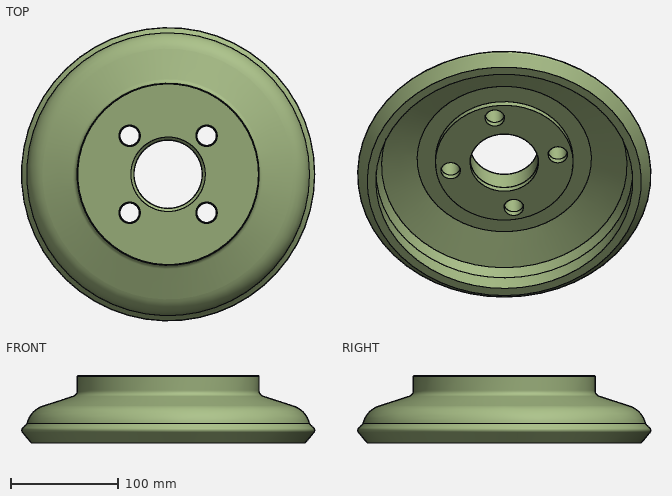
import cadquery as cq
import math

total_height = 62.99
rim_radius = 273.81 / 2

hub_radius = 170 / 2
hub_edge_chamfer = 0.7
hub_bore_radius = 63.52 / 2
bore_chamfer = 3.0
hub_fillet_radius = 5.2
hub_fillet_top_z = 48.7
bolt_hole_diameter = 18.0
bolt_chamfer = 1.0
bolt_circle_diameter = 101.6
bolt_count = 4
first_bolt_angle = 45.0

shoulder_slope = math.radians(18)
shoulder_end_radius = 117.0
dish_radius = 263.96 / 2
dish_bottom_z = 18.0

rim_bottom_radius = 127.9
rim_cone_angle = math.radians(50)
rim_nose_radius = 3.0
nose_top_angle = math.radians(58)

plate_radius = 128.5 / 2
plate_bore_radius = 63.8 / 2
plate_thickness = 6.2
hub_underside_z = 37.7
plate_bottom_z = hub_underside_z - plate_thickness

wall = 8.0

fillet_end_radius = hub_radius + hub_fillet_radius * (1 - math.sin(shoulder_slope))
fillet_end_z = hub_fillet_top_z - hub_fillet_radius * math.cos(shoulder_slope)
fillet_mid_angle = (math.pi / 2 - shoulder_slope) / 2
fillet_mid = (
    hub_radius + hub_fillet_radius * (1 - math.cos(fillet_mid_angle)),
    hub_fillet_top_z - hub_fillet_radius * math.sin(fillet_mid_angle),
)
shoulder_end_z = fillet_end_z - (shoulder_end_radius - fillet_end_radius) * math.tan(shoulder_slope)

nose_center_radius = rim_radius - rim_nose_radius
nose_tangent_radius = nose_center_radius + rim_nose_radius * math.sin(rim_cone_angle)
nose_tangent_z = (nose_tangent_radius - rim_bottom_radius) * math.tan(rim_cone_angle)
nose_center_z = nose_tangent_z + rim_nose_radius * math.cos(rim_cone_angle)
nose_top = (
    nose_center_radius + rim_nose_radius * math.cos(nose_top_angle),
    nose_center_z + rim_nose_radius * math.sin(nose_top_angle),
)

cavity_radius = rim_bottom_radius - wall
ceiling_drop = wall / math.cos(shoulder_slope)
ceiling_rise = hub_underside_z + ceiling_drop - fillet_end_z
slope_start_radius = fillet_end_radius - ceiling_rise / math.tan(shoulder_slope)
slope_end_radius = shoulder_end_radius - wall * math.sin(shoulder_slope)
slope_end_z = shoulder_end_z - wall * math.cos(shoulder_slope)


def bolt_holes(bottom_z, top_z):
    holes = cq.Workplane("XY").workplane(offset=bottom_z)
    holes = holes.polarArray(bolt_circle_diameter / 2, first_bolt_angle, 360, bolt_count)
    return holes.circle(bolt_hole_diameter / 2).extrude(top_z - bottom_z)


def bolt_countersinks():
    sinks = cq.Workplane("XY").workplane(offset=total_height)
    sinks = sinks.polarArray(bolt_circle_diameter / 2, first_bolt_angle, 360, bolt_count)
    sinks = sinks.circle(bolt_hole_diameter / 2 + bolt_chamfer)
    return sinks.extrude(-bolt_chamfer, taper=45)


def make_drum():
    profile = (
        cq.Workplane("XZ")
        .moveTo(hub_bore_radius, hub_underside_z)
        .lineTo(hub_bore_radius, total_height - bore_chamfer)
        .lineTo(hub_bore_radius + bore_chamfer, total_height)
        .lineTo(hub_radius - hub_edge_chamfer, total_height)
        .lineTo(hub_radius, total_height - hub_edge_chamfer)
        .lineTo(hub_radius, hub_fillet_top_z)
        .threePointArc(fillet_mid, (fillet_end_radius, fillet_end_z))
        .lineTo(shoulder_end_radius, shoulder_end_z)
        .tangentArcPoint((dish_radius, dish_bottom_z), relative=False)
        .lineTo(*nose_top)
        .threePointArc((rim_radius, nose_center_z), (nose_tangent_radius, nose_tangent_z))
        .lineTo(rim_bottom_radius, 0)
        .lineTo(cavity_radius, 0)
        .lineTo(cavity_radius, dish_bottom_z)
        .lineTo(slope_end_radius, slope_end_z)
        .lineTo(slope_start_radius, hub_underside_z)
        .close()
    )
    drum = profile.revolve(360, (0, 0, 0), (0, 1, 0))
    return drum.cut(bolt_holes(hub_underside_z, total_height)).cut(bolt_countersinks())


def make_backing_plate():
    plate = cq.Workplane("XY").workplane(offset=plate_bottom_z)
    plate = plate.circle(plate_radius).circle(plate_bore_radius).extrude(plate_thickness)
    return plate.cut(bolt_holes(plate_bottom_z, hub_underside_z))


drum = make_drum()
backing_plate = make_backing_plate()

result = cq.Compound.makeCompound([drum.val(), backing_plate.val()])